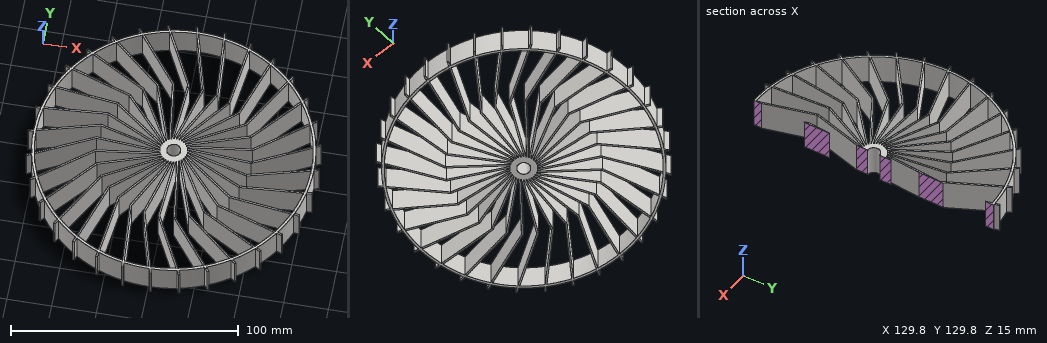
import cadquery as cq
import math

height = 15.0

bore_diameter = 6.1
bore_radius = bore_diameter / 2
hub_wall = 3.1
hub_radius = bore_radius + hub_wall

ring_outer_radius = 62.5
ring_wall = 1.2

blade_count = 32
blade_thickness = 0.8
blade_offset = 2.0
bend_x = 34.5
bend_angle = 30.56
outer_length = 32.13
first_blade_angle = -3.95
blade_pitch = 360.0 / blade_count


def make_tube(outer_radius, inner_radius):
    return cq.Workplane("XY").circle(outer_radius).circle(inner_radius).extrude(height)


def make_blade():
    half_thickness = blade_thickness / 2
    root_x = bore_radius + hub_wall / 2
    bend = math.radians(bend_angle)
    miter_shift = half_thickness * math.tan(bend / 2)
    tip_x = bend_x + outer_length * math.cos(bend)
    tip_y = blade_offset + outer_length * math.sin(bend)
    tip_dx = half_thickness * math.sin(bend)
    tip_dy = half_thickness * math.cos(bend)
    outline = [
        (root_x, blade_offset - half_thickness),
        (bend_x + miter_shift, blade_offset - half_thickness),
        (tip_x + tip_dx, tip_y - tip_dy),
        (tip_x - tip_dx, tip_y + tip_dy),
        (bend_x - miter_shift, blade_offset + half_thickness),
        (root_x, blade_offset + half_thickness),
    ]
    return cq.Workplane("XY").polyline(outline).close().extrude(height)


def add_blades(body):
    blade = make_blade()
    for index in range(blade_count):
        angle = first_blade_angle + index * blade_pitch
        body = body.union(blade.rotate((0, 0, 0), (0, 0, 1), angle))
    return body


hub = make_tube(hub_radius, bore_radius)
ring = make_tube(ring_outer_radius, ring_outer_radius - ring_wall)

result = add_blades(hub.union(ring))